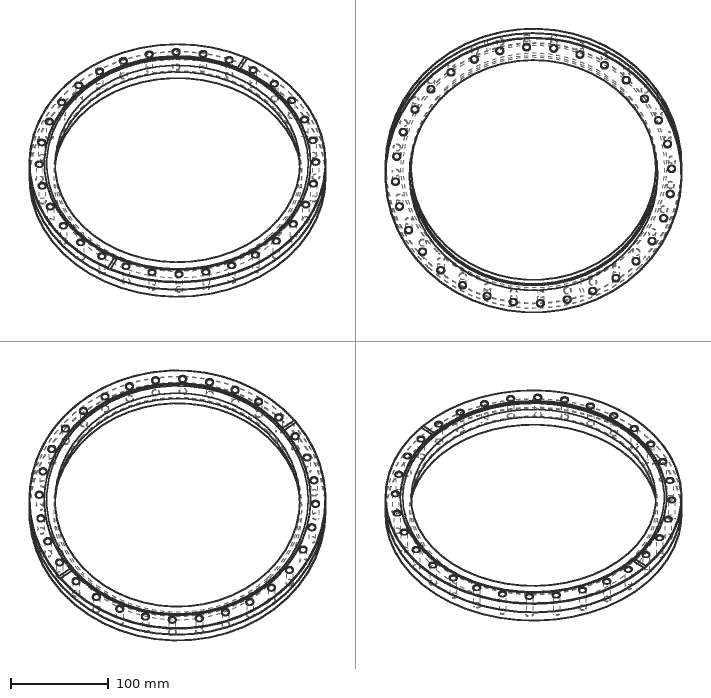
import cadquery as cq
import math

outer_diameter = 304.0
bore_diameter = 250.8
height = 25.8
edge_chamfer = 0.5

socket_diameter = 254.5
socket_depth = 13.5

recess_diameter = 273.0
knife_diameter = 268.2
seat_depth = 1.2
knife_angle = 20

rim_groove_width = 0.5
rim_groove_depth = rim_groove_width / 2

bolt_count = 32
bolt_diameter = 6.7
bolt_circle_diameter = 283.5
bolt_chamfer = 0.5

leak_groove_width = 3.0
leak_groove_depth = 1.0


def make_ring():
    """Revolve the ring section about Z: socket, chamfered rim with V groove, knife edge and bore."""
    outer_radius = outer_diameter / 2
    bore_radius = bore_diameter / 2
    socket_radius = socket_diameter / 2
    recess_radius = recess_diameter / 2
    knife_radius = knife_diameter / 2
    middle_z = height / 2
    seat_z = height - seat_depth
    recess_z = seat_z - (recess_radius - knife_radius) * math.tan(math.radians(knife_angle))
    section = [
        (socket_radius, 0),
        (outer_radius - edge_chamfer, 0),
        (outer_radius, edge_chamfer),
        (outer_radius, middle_z - rim_groove_width / 2),
        (outer_radius - rim_groove_depth, middle_z),
        (outer_radius, middle_z + rim_groove_width / 2),
        (outer_radius, height - edge_chamfer),
        (outer_radius - edge_chamfer, height),
        (recess_radius, height),
        (recess_radius, recess_z),
        (knife_radius, seat_z),
        (bore_radius, seat_z),
        (bore_radius, socket_depth),
        (socket_radius, socket_depth),
    ]
    return cq.Workplane("XZ").polyline(section).close().revolve(360, (0, 0, 0), (0, 1, 0))


def make_bolt_holes():
    """Through holes with flared ends, evenly spaced and straddling the X and Y axes."""
    core_radius = bolt_diameter / 2
    mouth_radius = core_radius + bolt_chamfer
    section = [
        (0, 0),
        (mouth_radius, 0),
        (core_radius, bolt_chamfer),
        (core_radius, height - bolt_chamfer),
        (mouth_radius, height),
        (0, height),
    ]
    hole = cq.Workplane("XZ").polyline(section).close().revolve(360, (0, 0, 0), (0, 1, 0)).val()
    half_pitch = 360 / bolt_count / 2
    return (
        cq.Workplane("XY")
        .polarArray(bolt_circle_diameter / 2, half_pitch, 360, bolt_count)
        .eachpoint(hole, combine=False)
        .combine()
    )


def make_leak_grooves():
    """A round-bottomed bar across the top face along Y; over the recess it only passes through air."""
    half_width = leak_groove_width / 2
    return (
        cq.Workplane("XZ")
        .moveTo(-half_width, height)
        .threePointArc((0, height - leak_groove_depth), (half_width, height))
        .close()
        .extrude(outer_diameter / 2, both=True)
    )


result = make_ring().cut(make_bolt_holes()).cut(make_leak_grooves())